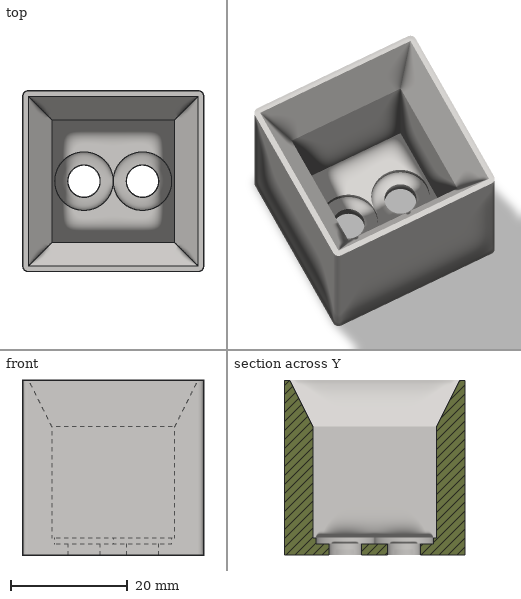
import cadquery as cq

width = 31.0
height = 30.0
wall = 1.0
corner_radius = wall

mouth_width = width - 2 * wall
well_width = 21.02
funnel_depth = mouth_width - well_width
floor_thickness = 3 * wall

hole_diameter = 5.5
counterbore_diameter = 10.0
counterbore_depth = wall
hole_spacing = counterbore_diameter


def make_body():
    body = cq.Workplane("XY").rect(width, width).extrude(height)
    return body.edges("|Z").fillet(corner_radius)


def make_funnel():
    return (
        cq.Workplane("XY", origin=(0, 0, height - funnel_depth))
        .rect(well_width, well_width)
        .workplane(offset=funnel_depth)
        .rect(mouth_width, mouth_width)
        .loft(ruled=True)
    )


def make_well():
    well_depth = height - funnel_depth - floor_thickness
    return (
        cq.Workplane("XY", origin=(0, 0, floor_thickness))
        .rect(well_width, well_width)
        .extrude(well_depth)
    )


def drill_floor(cup):
    hole_centres = [(-hole_spacing / 2, 0), (hole_spacing / 2, 0)]
    return (
        cup.copyWorkplane(cq.Workplane("XY", origin=(0, 0, floor_thickness)))
        .pushPoints(hole_centres)
        .cboreHole(hole_diameter, counterbore_diameter, counterbore_depth, floor_thickness)
    )


cup = make_body().cut(make_funnel()).cut(make_well())
result = drill_floor(cup)